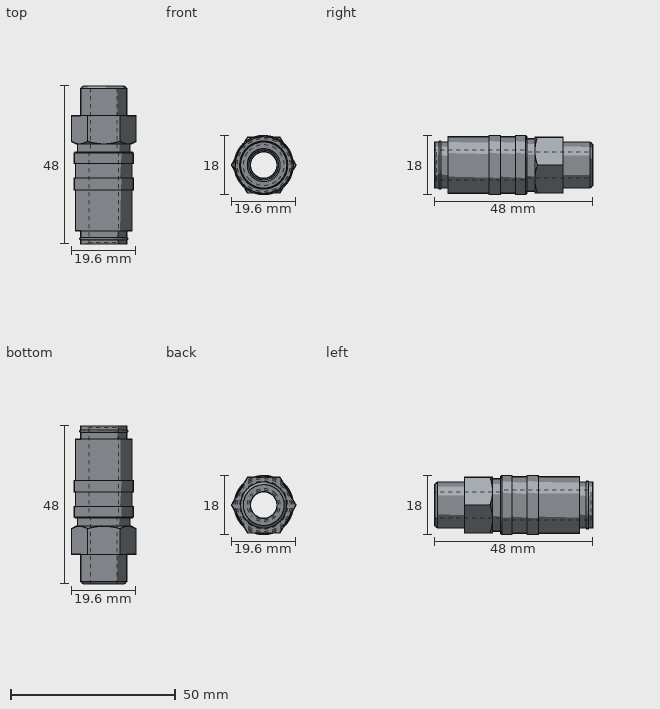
import cadquery as cq
import math


NOSE_END = 4.0
BAND_START = 16.5
BAND_END = 20.0
COLLAR_START = 24.5
COLLAR_END = 28.0
HEX_START = 30.4
HEX_END = 39.0
TOTAL_LENGTH = 48.0

NOSE_RADIUS = 7.0
SLEEVE_RADIUS = 8.6
COLLAR_RADIUS = 9.0
NECK_RADIUS = 8.0
SPIGOT_RADIUS = 7.0
COLLAR_CHAMFER = 0.4
SPIGOT_CHAMFER = 0.8

RING_POSITION = 1.625
RING_WIRE_RADIUS = 0.375
RING_OUTER_RADIUS = 7.3

HEX_ACROSS_FLATS = 17.0
HEX_ACROSS_CORNERS = HEX_ACROSS_FLATS / math.cos(math.radians(30))
HEX_CHAMFER_ANGLE = 30.0
HEX_FACE_RADIUS = 8.45

PASSAGE_RADIUS = 4.0
SOCKET_RADIUS = 4.5
SOCKET_DEPTH = COLLAR_END
SOCKET_CHAMFER = 0.5


def cylinder(radius, start, end):
    """Round bar on the Y axis between two stations."""
    bar = cq.Workplane("XZ", origin=(0, start, 0)).circle(radius)
    return bar.extrude(start - end)


def revolve_about_y(profile):
    """Turn a closed (radius, station) profile about the Y axis."""
    return profile.revolve(360, (0, 0, 0), (0, 1, 0))


def make_turned_body():
    nose = cylinder(NOSE_RADIUS, 0, NOSE_END)
    sleeve = cylinder(SLEEVE_RADIUS, NOSE_END, COLLAR_START)
    band = cylinder(COLLAR_RADIUS, BAND_START, BAND_END)
    collar = cylinder(COLLAR_RADIUS, COLLAR_START, COLLAR_END)
    collar = collar.faces(">Y").chamfer(COLLAR_CHAMFER)
    neck = cylinder(NECK_RADIUS, COLLAR_END, HEX_START)
    spigot = cylinder(SPIGOT_RADIUS, HEX_END, TOTAL_LENGTH)
    spigot = spigot.faces(">Y").chamfer(SPIGOT_CHAMFER)
    return nose.union(sleeve).union(band).union(collar).union(neck).union(spigot)


def make_ring():
    wire_center = RING_OUTER_RADIUS - RING_WIRE_RADIUS
    profile = cq.Workplane("XY").center(wire_center, RING_POSITION).circle(RING_WIRE_RADIUS)
    return profile.revolve(360, (-wire_center, 0, 0), (-wire_center, 1, 0))


def make_hexagon():
    """Hexagon with corners on the X axis, its corners turned down toward the neck."""
    plane = cq.Workplane("XZ", origin=(0, HEX_START, 0))
    hexagon = plane.polygon(6, HEX_ACROSS_CORNERS).extrude(HEX_START - HEX_END)
    corner_radius = HEX_ACROSS_CORNERS / 2
    chamfer_length = (corner_radius - HEX_FACE_RADIUS) * math.tan(math.radians(HEX_CHAMFER_ANGLE))
    envelope = revolve_about_y(
        cq.Workplane("XY")
        .moveTo(0, HEX_START)
        .lineTo(HEX_FACE_RADIUS, HEX_START)
        .lineTo(corner_radius, HEX_START + chamfer_length)
        .lineTo(corner_radius, HEX_END)
        .lineTo(0, HEX_END)
        .close()
    )
    return hexagon.intersect(envelope)


def make_bore():
    mouth_radius = SOCKET_RADIUS + SOCKET_CHAMFER
    return revolve_about_y(
        cq.Workplane("XY")
        .lineTo(mouth_radius, 0)
        .lineTo(SOCKET_RADIUS, SOCKET_CHAMFER)
        .lineTo(SOCKET_RADIUS, SOCKET_DEPTH)
        .lineTo(PASSAGE_RADIUS, SOCKET_DEPTH)
        .lineTo(PASSAGE_RADIUS, TOTAL_LENGTH)
        .lineTo(0, TOTAL_LENGTH)
        .close()
    )


result = make_turned_body().union(make_hexagon()).union(make_ring()).cut(make_bore())